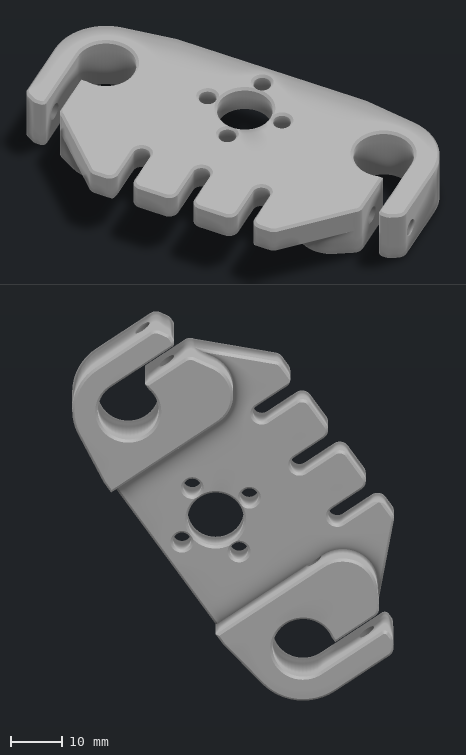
import cadquery as cq
import math

width = 82.0
height = 12.0
plate_thickness = 6.0
back_y = 12.5
front_y = -28.95
edge_chamfer = 0.5

socket_x = -30.0
socket_radius = 6.0
arm_thickness = 5.0
arm_end_y = -15.6
arm_bevel_y = -14.0
arm_bevel_angle = math.radians(30)
arm_outer_round = 2.0
arm_bevel_round = 1.5
arm_inner_round = 1.0
back_corner_x = -20.5

body_wall_x = -32.6
body_corner_y = -16.0
body_corner_round = 2.0
lip_y = -5.8
front_corner_round = 2.0

block_inner_x = -17.95
block_corner_y = -16.4
block_bevel_angle = math.radians(30)
block_round = 6.8

centre_bore_diameter = 11.0
small_hole_diameter = 3.5
bolt_offset = 8.0
slot_width = 3.5
slot_spacing = 12.95
slot_end_y = -20.0
clamp_screw_diameter = 3.5
clamp_screw_y = -11.0

plate_bottom = height - plate_thickness
outer_x = -width / 2
arm_inner_x = outer_x + arm_thickness
outer_radius = socket_x - outer_x
arm_bevel_end_x = outer_x + (arm_bevel_y - arm_end_y) / math.tan(arm_bevel_angle)
lip_start_x = socket_x - math.sqrt(socket_radius**2 - lip_y**2)
front_corner_x = body_wall_x + (body_corner_y - front_y)
block_front_y = block_corner_y - (block_inner_x - body_wall_x) * math.tan(block_bevel_angle)


def socket_point(radius, angle):
    """Point at a polar position around the socket centre."""
    return (socket_x + radius * math.cos(angle), radius * math.sin(angle))


def left_profile(front_points, bottom):
    """Prism up to the top face: clamp arm, socket and body, closed along the last front point."""
    inner_x = front_points[-1][0]
    corner_distance = math.hypot(back_corner_x - socket_x, back_y)
    corner_direction = math.atan2(back_y, back_corner_x - socket_x)
    tangent_angle = corner_direction + math.acos(outer_radius / corner_distance)
    return (
        cq.Workplane("XY", origin=(0, 0, bottom))
        .moveTo(inner_x, back_y)
        .lineTo(back_corner_x, back_y)
        .lineTo(*socket_point(outer_radius, tangent_angle))
        .threePointArc(socket_point(outer_radius, (tangent_angle + math.pi) / 2), (outer_x, 0))
        .lineTo(outer_x, arm_bevel_y)
        .lineTo(arm_bevel_end_x, arm_end_y)
        .lineTo(arm_inner_x, arm_end_y)
        .lineTo(arm_inner_x, 0)
        .threePointArc(socket_point(socket_radius, 0), (lip_start_x, lip_y))
        .lineTo(body_wall_x, lip_y)
        .polyline(front_points, includeCurrent=True)
        .close()
        .extrude(height - bottom)
    )


def round_corner(body, x, y, radius):
    """Round the upright edge at (x, y)."""
    mid_z = (plate_bottom + height) / 2
    return body.edges("|Z").edges(cq.NearestToPointSelector((x, y, mid_z))).fillet(radius)


def round_arm_end(body):
    """Round the three corners at the free end of the clamp arm."""
    body = round_corner(body, outer_x, arm_bevel_y, arm_outer_round)
    body = round_corner(body, arm_bevel_end_x, arm_end_y, arm_bevel_round)
    return round_corner(body, arm_inner_x, arm_end_y, arm_inner_round)


def chamfer_faces(body, faces):
    """Break every edge of the chosen faces."""
    return body.faces(faces).edges().chamfer(edge_chamfer)


def with_mirror(body):
    return body.union(body.mirror("YZ"))


def chamfered_hole(x, y, radius):
    """Cutter for a through hole in the plate, widened by the edge chamfer at both faces."""
    rim_radius = radius + edge_chamfer
    return (
        cq.Workplane("XZ", origin=(x, y, 0))
        .moveTo(0, plate_bottom)
        .lineTo(rim_radius, plate_bottom)
        .lineTo(radius, plate_bottom + edge_chamfer)
        .lineTo(radius, height - edge_chamfer)
        .lineTo(rim_radius, height)
        .lineTo(0, height)
        .close()
        .revolve(360, (0, 0, 0), (0, 1, 0))
    )


def open_slot(x):
    """Cutter for a round-ended slot open at the front edge of the plate."""
    half_width = slot_width / 2
    return (
        cq.Workplane("XY", origin=(x, 0, plate_bottom))
        .moveTo(-half_width, front_y)
        .lineTo(-half_width, slot_end_y)
        .threePointArc((0, slot_end_y + half_width), (half_width, slot_end_y))
        .lineTo(half_width, front_y)
        .close()
        .extrude(plate_thickness)
    )


def make_plate():
    front = [(body_wall_x, body_corner_y), (front_corner_x, front_y), (0, front_y)]
    half = round_arm_end(left_profile(front, plate_bottom))
    half = round_corner(half, body_wall_x, body_corner_y, body_corner_round)
    half = round_corner(half, front_corner_x, front_y, front_corner_round)
    plate = with_mirror(half).clean()

    outer_corner_x = slot_spacing + slot_width / 2
    for slot_x in (-slot_spacing, 0, slot_spacing):
        plate = plate.cut(open_slot(slot_x))
        for side in (-1, 1):
            corner_x = slot_x + side * slot_width / 2
            if abs(corner_x) < outer_corner_x:
                plate = round_corner(plate, corner_x, front_y, front_corner_round)

    rounded = plate
    for corner_x in (-outer_corner_x, outer_corner_x):
        rounded = round_corner(rounded, corner_x, front_y, front_corner_round)
    plate = chamfer_faces(plate, "<Z").intersect(chamfer_faces(rounded, ">Z"))

    plate = plate.cut(chamfered_hole(0, 0, centre_bore_diameter / 2))
    for x, y in ((1, 0), (0, 1), (-1, 0), (0, -1)):
        hole = chamfered_hole(x * bolt_offset, y * bolt_offset, small_hole_diameter / 2)
        plate = plate.cut(hole)
    return plate


def make_clamp_block():
    front = [(body_wall_x, block_corner_y), (block_inner_x, block_front_y)]
    block = round_arm_end(left_profile(front, 0))
    block = round_corner(block, body_wall_x, block_corner_y, body_corner_round)
    block = round_corner(block, block_inner_x, block_front_y, block_round)
    return chamfer_faces(block, "<Z or >Z")


def make_clamp_screw_hole():
    """Hole along X through the arm and its block, centred at the plate underside."""
    return (
        cq.Workplane("YZ", origin=(outer_x, clamp_screw_y, plate_bottom))
        .circle(clamp_screw_diameter / 2)
        .extrude(block_inner_x - outer_x)
    )


result = (
    make_plate()
    .union(with_mirror(make_clamp_block()))
    .cut(with_mirror(make_clamp_screw_hole()))
)